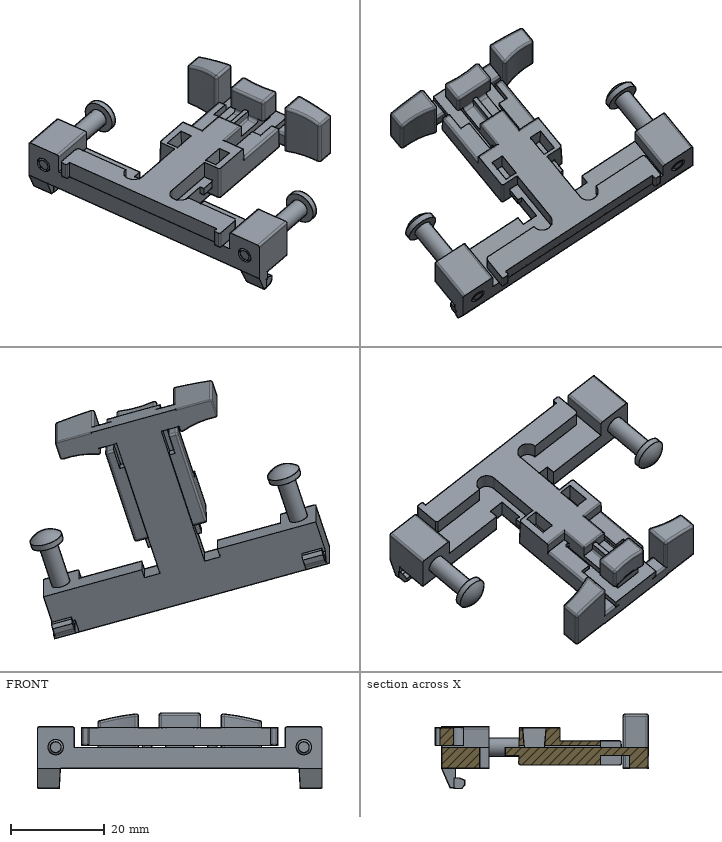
import cadquery as cq
import math


LENGTH = 61.0
FRAME_HEIGHT = 4.5
BAR_DEPTH = 10.2
BLOCK_WIDTH = 7.9
BLOCK_HEIGHT = 8.95
BLOCK_EDGE_RADIUS = 0.5
NOTCH_DEPTH = 1.95
NOTCH_OUTER_X = 8.5
TONGUE_NECK_HALF = 5.0
TONGUE_HALF = 6.0
TONGUE_FLANGE_THICKNESS = 1.75
TONGUE_SHOULDER_Y = 13.6
BACK_Y = 44.35

HOOK_WIDTH = 4.95
HOOK_TAPER = 0.25
HOOK_DROP = 4.35
LEG_DROP = 4.15
LEG_TOE_Y = 1.8
LEG_SLIM_Y = 2.6
LEG_BACK_Y = 3.0
LIP_DROP = 2.0
LIP_TOP_Y = 3.8
LIP_END_Y = 5.0
LIP_END_UPPER_DROP = 2.5
LIP_END_LOWER_DROP = 3.55
LIP_FOOT_BACK_Y = 4.3
LIP_FOOT_FRONT_Y = 3.05
LIP_INSET = 0.25

SCREW_X = 26.6
SCREW_Z = 4.6
SHANK_RADIUS = 2.0
HEAD_RADIUS = 3.55
HEAD_Y = 20.1
HEAD_RIM = 1.3
HEAD_DOME = 1.45
TIP_RADIUS = 1.65
TIP_CHAMFER = 0.5

ARM_DEPTH = 4.1
ARM_HEIGHT = 3.1
ARM_EDGE_RADIUS = 0.5
PADDLE_INNER_X = 8.85
PADDLE_OUTER_X = 17.55
PADDLE_INNER_DEPTH = 5.75
PADDLE_OUTER_DEPTH = 4.4
PADDLE_INNER_Z = 11.8
PADDLE_OUTER_Z = 10.1
PADDLE_FRONT_SAG = 0.55
PADDLE_TOP_BULGE = 0.2
GRIP_EDGE_RADIUS = 0.55
PADDLE_FOOT_RADIUS = 0.25

SLIDER_TOP = 8.8
SLIDER_GAP = 0.35
SLIDER_UNDERSIDE = FRAME_HEIGHT + SLIDER_GAP
CROSSBAR_HALF = 21.05
CROSSBAR_FRONT_Y = -0.35
CROSSBAR_BACK_Y = 4.7
CROSSBAR_CORNER = 0.4
TAB_WIDTH = 1.6
TAB_FRONT_Y = -1.4
TAB_EDGE_RADIUS = 0.35
STEM_HALF = 3.95
RELIEF_RADIUS = 2.15
BODY_HALF = 8.1
BODY_BOTTOM = 0.75
BODY_FRONT_Y = 16.5
BODY_STEP_Y = 25.45
BODY_BACK_Y = 38.6
BODY_LOW_TOP = 6.0
BODY_EDGE_RADIUS = 0.5
BODY_DRAFT = 1.3
TOP_EDGE_RADIUS = 0.35
WINDOW_X = 5.05
WINDOW_Y = 19.9
WINDOW_WIDTH = 2.7
WINDOW_LENGTH = 5.0
WINDOW_TAPER = 5.0
BACK_CUT_HALF = 6.15
BACK_CUT_Y = 34.1

LATCH_HALF = 3.05
LATCH_TOP = BODY_LOW_TOP
LATCH_SLOT_Y = 26.65
LATCH_SLOT_RADIUS = 0.3
RIDGE_BACK_Y = 31.5
RIB_HALF = 0.5
RIB_TOP = 7.8
RIB_BASE_RADIUS = 0.35
BUTTON_HALF = 4.45
BUTTON_FRONT_Y = 37.5
BUTTON_BACK_Y = 42.5
BUTTON_BOTTOM = 6.7
BUTTON_TOP = 11.9
BUTTON_SAG = 0.4

OVERLAP = 0.6
PICK_MARGIN = 0.05


def box(x0, x1, y0, y1, z0, z1):
    """Box between opposite corners."""
    return cq.Workplane("XY").box(x1 - x0, y1 - y0, z1 - z0, centered=False).translate((x0, y0, z0))


def both_sides(shape):
    """The shape together with its mirror image across the middle plane."""
    return shape.union(shape.mirror("YZ"))


def side_profile(x_start):
    """Workplane whose local axes are Y and Z, extruding toward +X."""
    return cq.Workplane("YZ").workplane(offset=x_start)


def make_frame():
    """Bar with a raised block at each end and a flanged tongue running backward."""
    notch_y = BAR_DEPTH - NOTCH_DEPTH
    right_half = [
        (0, 0), (LENGTH / 2, 0), (LENGTH / 2, BAR_DEPTH), (NOTCH_OUTER_X, BAR_DEPTH),
        (NOTCH_OUTER_X, notch_y), (TONGUE_NECK_HALF, notch_y),
        (TONGUE_NECK_HALF, BACK_Y), (0, BACK_Y),
    ]
    plate = cq.Workplane("XY").polyline(right_half).close().extrude(FRAME_HEIGHT)
    flange_bottom = FRAME_HEIGHT - TONGUE_FLANGE_THICKNESS
    flange = box(0, TONGUE_HALF, TONGUE_SHOULDER_Y, BACK_Y, flange_bottom, FRAME_HEIGHT)
    block = box(LENGTH / 2 - BLOCK_WIDTH, LENGTH / 2, 0, BAR_DEPTH, 0, BLOCK_HEIGHT)
    block = block.edges("|Y and >Z").fillet(BLOCK_EDGE_RADIUS)
    return both_sides(plate.union(flange).union(block))


def make_hook():
    """Right hook: a sloping leg with a faceted lip pointing backward."""
    inner_x = LENGTH / 2 - HOOK_WIDTH
    lip_root_y = LEG_SLIM_Y - LIP_INSET
    leg = (
        side_profile(inner_x)
        .polyline([(0, OVERLAP), (0, 0), (LEG_TOE_Y, -LEG_DROP), (LEG_SLIM_Y, -LEG_DROP),
                   (LEG_SLIM_Y, -LIP_DROP), (LEG_BACK_Y, -LIP_DROP), (LEG_BACK_Y, OVERLAP)])
        .close().extrude(HOOK_WIDTH)
    )
    lip = (
        side_profile(inner_x + LIP_INSET)
        .polyline([(lip_root_y, -LIP_DROP), (LIP_TOP_Y, -LIP_DROP), (LIP_END_Y, -LIP_END_UPPER_DROP),
                   (LIP_END_Y, -LIP_END_LOWER_DROP), (LIP_FOOT_BACK_Y, -HOOK_DROP),
                   (LIP_FOOT_FRONT_Y, -HOOK_DROP), (lip_root_y, -LEG_DROP)])
        .close().extrude(HOOK_WIDTH - 2 * LIP_INSET)
    )
    side_taper = (
        cq.Workplane("XZ")
        .polyline([(inner_x, 0), (inner_x, -HOOK_DROP), (inner_x + HOOK_TAPER, -HOOK_DROP)])
        .close().extrude(-BAR_DEPTH)
    )
    return leg.union(lip).cut(side_taper)


def make_screw():
    """Right screw, turned about its own axis along Y."""
    rim_y = HEAD_Y + HEAD_RIM
    dome_y = rim_y + HEAD_DOME
    dome_radius = (HEAD_RADIUS**2 + HEAD_DOME**2) / (2 * HEAD_DOME)
    mid_radius = HEAD_RADIUS / 2
    mid_y = dome_y - dome_radius + math.sqrt(dome_radius**2 - mid_radius**2)
    profile = (
        cq.Workplane("XY").moveTo(0, BAR_DEPTH / 2).lineTo(SHANK_RADIUS, BAR_DEPTH / 2)
        .lineTo(SHANK_RADIUS, HEAD_Y).lineTo(HEAD_RADIUS, HEAD_Y).lineTo(HEAD_RADIUS, rim_y)
        .threePointArc((mid_radius, mid_y), (0, dome_y)).close()
    )
    return profile.revolve(360, (0, 0, 0), (0, 1, 0)).translate((SCREW_X, 0, SCREW_Z))


def make_tip_groove():
    """Groove in the front face left around the chamfered tip of the right screw."""
    profile = cq.Workplane("XY").polyline(
        [(TIP_RADIUS - TIP_CHAMFER, 0), (TIP_RADIUS, 0), (TIP_RADIUS, TIP_CHAMFER)]
    ).close()
    return profile.revolve(360, (0, 0, 0), (0, 1, 0)).translate((SCREW_X, 0, SCREW_Z))


def make_paddle():
    """Right finger paddle with a concave front and a bulged sloping top, on its arm."""
    mid_x = (PADDLE_INNER_X + PADDLE_OUTER_X) / 2
    inner_y = BACK_Y - PADDLE_INNER_DEPTH
    outer_y = BACK_Y - PADDLE_OUTER_DEPTH
    plan = (
        cq.Workplane("XY").moveTo(PADDLE_INNER_X, BACK_Y).lineTo(PADDLE_INNER_X, inner_y)
        .threePointArc((mid_x, (inner_y + outer_y) / 2 + PADDLE_FRONT_SAG), (PADDLE_OUTER_X, outer_y))
        .lineTo(PADDLE_OUTER_X, BACK_Y).close().extrude(PADDLE_INNER_Z)
    )
    elevation = (
        cq.Workplane("XZ").moveTo(PADDLE_INNER_X, 0).lineTo(PADDLE_INNER_X, PADDLE_INNER_Z)
        .threePointArc(
            (mid_x, (PADDLE_INNER_Z + PADDLE_OUTER_Z) / 2 + PADDLE_TOP_BULGE),
            (PADDLE_OUTER_X, PADDLE_OUTER_Z),
        )
        .lineTo(PADDLE_OUTER_X, 0).close().extrude(-BACK_Y)
    )
    paddle = plan.intersect(elevation).edges("not <Z").fillet(GRIP_EDGE_RADIUS)
    paddle = paddle.faces("<Z").edges().fillet(PADDLE_FOOT_RADIUS)
    arm_start = TONGUE_NECK_HALF - OVERLAP
    arm_end = PADDLE_INNER_X + OVERLAP
    arm = box(arm_start, arm_end, BACK_Y - ARM_DEPTH, BACK_Y, 0, ARM_HEIGHT)
    return paddle.union(arm.edges("|X and >Z").fillet(ARM_EDGE_RADIUS))


def make_crossbar():
    """T-shaped bar and stem floating just above the frame."""
    height = SLIDER_TOP - SLIDER_UNDERSIDE
    bar = box(-CROSSBAR_HALF, CROSSBAR_HALF, CROSSBAR_FRONT_Y, CROSSBAR_BACK_Y, SLIDER_UNDERSIDE, SLIDER_TOP)
    bar = bar.edges("|Z and >Y").chamfer(CROSSBAR_CORNER)
    tab = box(CROSSBAR_HALF - TAB_WIDTH, CROSSBAR_HALF, TAB_FRONT_Y, OVERLAP, SLIDER_UNDERSIDE, SLIDER_TOP)
    tab = tab.edges("<Y and (|Z or <Z)").fillet(TAB_EDGE_RADIUS)
    stem = box(-STEM_HALF, STEM_HALF, 0, BODY_FRONT_Y + OVERLAP, SLIDER_UNDERSIDE, SLIDER_TOP)
    relief_x = STEM_HALF + RELIEF_RADIUS
    reliefs = (
        cq.Workplane("XY", origin=(0, 0, SLIDER_UNDERSIDE))
        .pushPoints([(-relief_x, CROSSBAR_BACK_Y), (relief_x, CROSSBAR_BACK_Y)])
        .circle(RELIEF_RADIUS).extrude(height)
    )
    return bar.union(both_sides(tab)).union(stem).cut(reliefs)


def make_body():
    """Slider body straddling the tongue: low at the back, full height at the front."""
    length = BODY_BACK_Y - BODY_FRONT_Y
    body = (
        cq.Workplane("XY", origin=(0, BODY_FRONT_Y + length / 2, BODY_BOTTOM))
        .rect(2 * BODY_HALF, length).extrude(SLIDER_TOP - BODY_BOTTOM, taper=BODY_DRAFT)
    )
    step = box(-BODY_HALF, BODY_HALF, BODY_STEP_Y, BODY_BACK_Y, BODY_LOW_TOP, SLIDER_TOP)
    body = body.edges("not #Z").fillet(BODY_EDGE_RADIUS).faces("<Z").edges().fillet(BODY_EDGE_RADIUS)
    body = body.cut(step)
    low_top_rim = cq.selectors.BoxSelector(
        (-BODY_HALF, BODY_STEP_Y + PICK_MARGIN, BODY_LOW_TOP - PICK_MARGIN),
        (BODY_HALF, BODY_BACK_Y, BODY_LOW_TOP + PICK_MARGIN),
    )
    body = body.edges(low_top_rim).fillet(BODY_EDGE_RADIUS)
    body = body.faces(">Z").edges(">Y").fillet(TOP_EDGE_RADIUS)
    clearance = box(-TONGUE_HALF, TONGUE_HALF, BODY_FRONT_Y, BODY_BACK_Y, FRAME_HEIGHT, SLIDER_UNDERSIDE)
    back_cut = box(-BACK_CUT_HALF, BACK_CUT_HALF, BACK_CUT_Y, BODY_BACK_Y, 0, SLIDER_TOP)
    slot = box(LATCH_HALF, STEM_HALF, LATCH_SLOT_Y, BACK_CUT_Y, FRAME_HEIGHT, SLIDER_TOP)
    slot = slot.edges("|Z and <Y").fillet(LATCH_SLOT_RADIUS)
    window = (
        cq.Workplane("XY", origin=(WINDOW_X, WINDOW_Y, SLIDER_TOP))
        .rect(WINDOW_WIDTH, WINDOW_LENGTH)
        .extrude(FRAME_HEIGHT - SLIDER_TOP, taper=WINDOW_TAPER)
    )
    return body.cut(clearance).cut(back_cut).cut(both_sides(slot)).cut(both_sides(window))


def make_latch():
    """Spring strip with a raised ridge, a stiffening rib and a push button at its end."""
    root_y = BODY_STEP_Y - OVERLAP
    ramp = BUTTON_BOTTOM - LATCH_TOP
    ramp_mid = ramp * math.sqrt(0.5)
    strip = (
        side_profile(-LATCH_HALF).moveTo(BODY_FRONT_Y + OVERLAP, FRAME_HEIGHT)
        .lineTo(BODY_FRONT_Y + OVERLAP, LATCH_TOP).lineTo(BUTTON_FRONT_Y - ramp, LATCH_TOP)
        .threePointArc(
            (BUTTON_FRONT_Y - ramp + ramp_mid, BUTTON_BOTTOM - ramp_mid), (BUTTON_FRONT_Y, BUTTON_BOTTOM)
        )
        .lineTo(BUTTON_BACK_Y - OVERLAP, BUTTON_BOTTOM).lineTo(BUTTON_BACK_Y - OVERLAP, FRAME_HEIGHT)
        .close().extrude(2 * LATCH_HALF)
    )
    ridge = box(-LATCH_HALF, LATCH_HALF, root_y, RIDGE_BACK_Y, LATCH_TOP, SLIDER_TOP)
    ridge = ridge.edges(">Z and (|Y or >Y)").fillet(TOP_EDGE_RADIUS)
    flare = RIB_HALF + RIB_BASE_RADIUS
    flare_mid = RIB_BASE_RADIUS * (1 - math.sqrt(0.5))
    flare_top = LATCH_TOP + RIB_BASE_RADIUS
    rib = (
        cq.Workplane("XZ", origin=(0, RIDGE_BACK_Y - OVERLAP, 0)).moveTo(-flare, LATCH_TOP)
        .threePointArc((-RIB_HALF - flare_mid, LATCH_TOP + flare_mid), (-RIB_HALF, flare_top))
        .lineTo(-RIB_HALF, RIB_TOP).lineTo(RIB_HALF, RIB_TOP).lineTo(RIB_HALF, flare_top)
        .threePointArc((RIB_HALF + flare_mid, LATCH_TOP + flare_mid), (flare, LATCH_TOP))
        .close().extrude(RIDGE_BACK_Y - BUTTON_FRONT_Y - 2 * OVERLAP)
    )
    button = (
        cq.Workplane("XY", origin=(0, 0, BUTTON_BOTTOM)).moveTo(-BUTTON_HALF, BUTTON_FRONT_Y)
        .lineTo(BUTTON_HALF, BUTTON_FRONT_Y).lineTo(BUTTON_HALF, BUTTON_BACK_Y)
        .threePointArc((0, BUTTON_BACK_Y - BUTTON_SAG), (-BUTTON_HALF, BUTTON_BACK_Y))
        .close().extrude(BUTTON_TOP - BUTTON_BOTTOM).edges("|Z or >Z").fillet(GRIP_EDGE_RADIUS)
    )
    return strip.union(ridge).union(rib).union(button)


result = (
    make_frame()
    .union(both_sides(make_hook()))
    .union(both_sides(make_screw()))
    .cut(both_sides(make_tip_groove()))
    .union(both_sides(make_paddle()))
    .union(make_crossbar())
    .union(make_body())
    .union(make_latch())
)